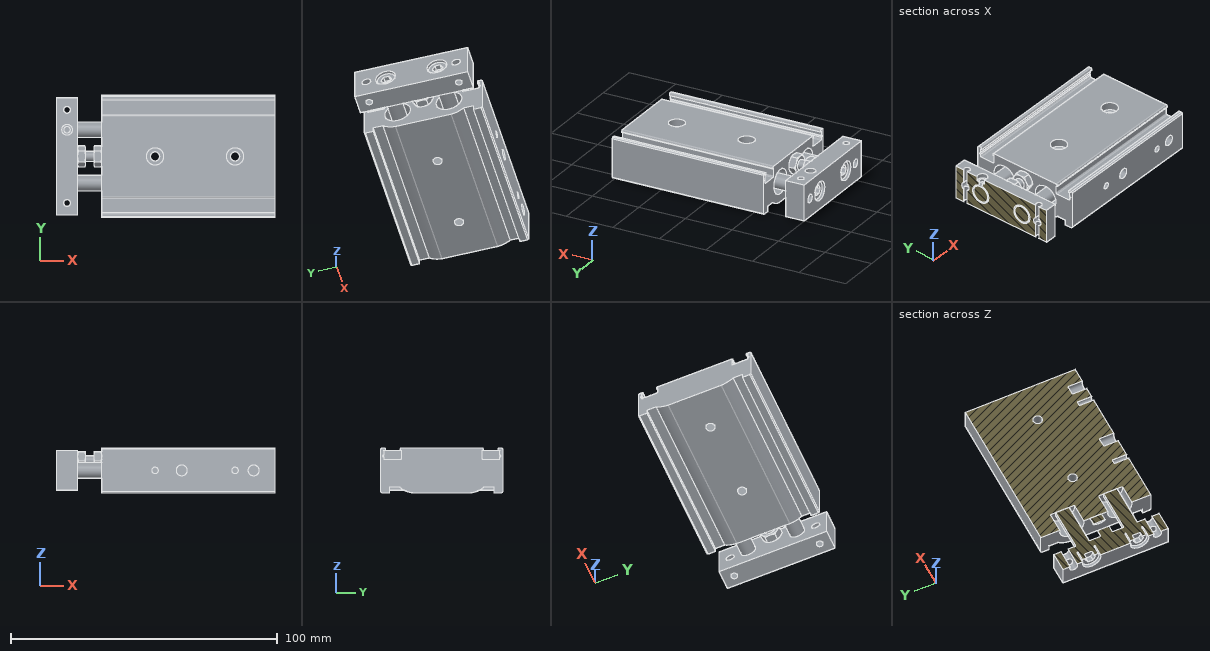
import cadquery as cq
import math


HEXAGON_HALF_ANGLE = 30.0

TOTAL_LENGTH = 82.0
HOUSING_LENGTH = 65.0
HOUSING_WIDTH = 46.0
HOUSING_HEIGHT = 17.0
PLATE_THICKNESS = 7.95
PLATE_WIDTH = 44.0
PLATE_HEIGHT = 15.0
HOUSING_X = TOTAL_LENGTH - HOUSING_LENGTH
HALF_WIDTH = HOUSING_WIDTH / 2
HALF_HEIGHT = HOUSING_HEIGHT / 2

ROD_Y = 10.0
ROD_SIDES = (-ROD_Y, ROD_Y)
ROD_DIAMETER = 6.0
BORE_DIAMETER = 10.0
BORE_DEPTH = 8.0

EDGE_CHAMFER = 0.5
SLOT_INNER_Y = 15.6
SLOT_OUTER_Y = 21.1
SLOT_LIP_HEIGHT = 1.0
SLOT_LIP_RADIUS = 0.5
SLOT_FLOOR_Z = 4.0
SLOT_FLOOR_RADIUS = 0.4
SLOT_INNER_UNDERCUT = 0.4
SLOT_OUTER_UNDERCUT = 0.65
NOTCH_Z = 5.4
NOTCH_DEPTH = 0.4
BOTTOM_LIP_Y = 19.5
BOTTOM_SLOT_FLOOR_Z = -6.3
BOTTOM_RADIUS = 8.5

MOUNT_OFFSETS = (20.0, 50.0)
MOUNT_HOLE_DIAMETER = 3.4
MOUNT_COUNTERBORE_DIAMETER = 6.5
MOUNT_COUNTERBORE_DEPTH = 3.3
SIDE_TAP_DIAMETER = 2.5
PORT_OFFSETS = (30.0, 57.0)
PORT_DIAMETER = 4.1
SIDE_HOLE_DEPTH = 6.0

PLATE_HOLE_Y = 17.5
PLATE_CROSS_HOLE_DIAMETER = 2.5
PLATE_FACE_HOLE_DIAMETER = 3.3
SCREW_HEAD_DIAMETER = 7.0
SCREW_RECESS_DIAMETER = 7.6
SCREW_RECESS_DEPTH = 5.0
SCREW_HEAD_SETBACK = 1.0
SCREW_HEX_FLATS = 3.5
SCREW_HEX_DEPTH = 2.0
LOCK_HOLE_DIAMETER = 4.0
LOCK_HOLE_DEPTH = 2.0
LOCK_SOCKET_DIAMETER = 2.5
LOCK_SOCKET_DEPTH = 1.2

STOPPER_Z = 3.5
STOPPER_DIAMETER = 4.0
NUT_FLATS = 7.0
NUT_THICKNESS = 2.95
NUT_CHAMFER_ANGLE = 30.0


def rod_along_x(diameter, x_start, length, y=0.0, z=0.0):
    """Round bar parallel to X."""
    return cq.Workplane("YZ", origin=(x_start, y, z)).circle(diameter / 2).extrude(length)


def hexagon_along_x(flats, x_start, length, y=0.0, z=0.0):
    """Hexagonal bar parallel to X with two flats facing up and down."""
    corners = flats / math.cos(math.radians(HEXAGON_HALF_ANGLE))
    return cq.Workplane("YZ", origin=(x_start, y, z)).polygon(6, corners).extrude(length)


def cylinder_down(diameter, x, y, z_top, depth):
    """Round bar that starts at z_top and runs down."""
    return cq.Workplane("XY", origin=(x, y, z_top)).circle(diameter / 2).extrude(-depth)


def side_hole(diameter, x, depth):
    """Cutter for a round hole into the -Y side of the housing."""
    return cq.Workplane("XZ", origin=(x, -HALF_WIDTH, 0)).circle(diameter / 2).extrude(-depth)


def top_slot():
    """Sensor slot on the +Y side of the top face, as a cutter."""
    lip_bottom = HALF_HEIGHT - SLOT_LIP_HEIGHT
    round_bottom = HALF_HEIGHT - SLOT_LIP_RADIUS
    wall_inner = SLOT_INNER_Y - SLOT_INNER_UNDERCUT
    wall_outer = SLOT_OUTER_Y + SLOT_OUTER_UNDERCUT
    floor_top = SLOT_FLOOR_Z + SLOT_FLOOR_RADIUS
    profile = (
        cq.Workplane("YZ", origin=(HOUSING_X, 0, 0))
        .moveTo(SLOT_INNER_Y - SLOT_LIP_RADIUS, HALF_HEIGHT)
        .radiusArc((SLOT_INNER_Y, round_bottom), SLOT_LIP_RADIUS)
        .lineTo(SLOT_INNER_Y, lip_bottom)
        .lineTo(wall_inner, lip_bottom)
        .lineTo(wall_inner, floor_top)
        .radiusArc((wall_inner + SLOT_FLOOR_RADIUS, SLOT_FLOOR_Z), -SLOT_FLOOR_RADIUS)
        .lineTo(wall_outer - SLOT_FLOOR_RADIUS, SLOT_FLOOR_Z)
        .radiusArc((wall_outer, floor_top), -SLOT_FLOOR_RADIUS)
        .lineTo(wall_outer, NOTCH_Z - NOTCH_DEPTH)
        .lineTo(wall_outer + NOTCH_DEPTH, NOTCH_Z)
        .lineTo(wall_outer, NOTCH_Z + NOTCH_DEPTH)
        .lineTo(wall_outer, lip_bottom)
        .lineTo(SLOT_OUTER_Y, lip_bottom)
        .lineTo(SLOT_OUTER_Y, round_bottom)
        .radiusArc((SLOT_OUTER_Y + SLOT_LIP_RADIUS, HALF_HEIGHT), SLOT_LIP_RADIUS)
        .close()
    )
    return profile.extrude(HOUSING_LENGTH)


def bottom_slot():
    """Slot on the +Y side of the bottom face, bounded by the bulge around the bore."""
    arc_top_y = ROD_Y + math.sqrt(BOTTOM_RADIUS**2 - BOTTOM_SLOT_FLOOR_Z**2)
    arc_end_y = ROD_Y + math.sqrt(BOTTOM_RADIUS**2 - HALF_HEIGHT**2)
    profile = (
        cq.Workplane("YZ", origin=(HOUSING_X, 0, 0))
        .moveTo(arc_top_y, BOTTOM_SLOT_FLOOR_Z)
        .radiusArc((arc_end_y, -HALF_HEIGHT), BOTTOM_RADIUS)
        .lineTo(BOTTOM_LIP_Y, -HALF_HEIGHT)
        .lineTo(BOTTOM_LIP_Y, BOTTOM_SLOT_FLOOR_Z)
        .close()
    )
    return profile.extrude(HOUSING_LENGTH)


def make_housing():
    block = (
        cq.Workplane("XY")
        .box(HOUSING_LENGTH, HOUSING_WIDTH, HOUSING_HEIGHT)
        .edges("|X")
        .chamfer(EDGE_CHAMFER)
        .translate((HOUSING_X + HOUSING_LENGTH / 2, 0, 0))
    )
    for slot in (top_slot(), bottom_slot()):
        block = block.cut(slot).cut(slot.mirror("XZ"))

    for y in ROD_SIDES:
        block = block.cut(rod_along_x(BORE_DIAMETER, HOUSING_X, BORE_DEPTH, y))

    for offset in MOUNT_OFFSETS:
        x = HOUSING_X + offset
        block = block.cut(cylinder_down(MOUNT_HOLE_DIAMETER, x, 0, HALF_HEIGHT, HOUSING_HEIGHT))
        counterbore = cylinder_down(
            MOUNT_COUNTERBORE_DIAMETER, x, 0, HALF_HEIGHT, MOUNT_COUNTERBORE_DEPTH
        )
        block = block.cut(counterbore)
        block = block.cut(side_hole(SIDE_TAP_DIAMETER, x, SIDE_HOLE_DEPTH))

    for offset in PORT_OFFSETS:
        block = block.cut(side_hole(PORT_DIAMETER, HOUSING_X + offset, SIDE_HOLE_DEPTH))
    return block


def rod_screw(y):
    """Socket head screw that sits in a recess of the end plate."""
    length = SCREW_RECESS_DEPTH - SCREW_HEAD_SETBACK
    head = rod_along_x(SCREW_HEAD_DIAMETER, SCREW_HEAD_SETBACK, length, y)
    return head.cut(hexagon_along_x(SCREW_HEX_FLATS, SCREW_HEAD_SETBACK, SCREW_HEX_DEPTH, y))


def make_plate():
    plate = cq.Workplane("XY").box(PLATE_THICKNESS, PLATE_WIDTH, PLATE_HEIGHT)
    plate = plate.translate((PLATE_THICKNESS / 2, 0, 0))
    middle_x = PLATE_THICKNESS / 2
    top_z = PLATE_HEIGHT / 2

    for y in (-PLATE_HOLE_Y, PLATE_HOLE_Y):
        plate = plate.cut(cylinder_down(PLATE_CROSS_HOLE_DIAMETER, middle_x, y, top_z, PLATE_HEIGHT))
        plate = plate.cut(rod_along_x(PLATE_FACE_HOLE_DIAMETER, 0, PLATE_THICKNESS, y))

    for y in ROD_SIDES:
        plate = plate.cut(rod_along_x(SCREW_RECESS_DIAMETER, 0, SCREW_RECESS_DEPTH, y))
        plate = plate.union(rod_screw(y))

    lock_depth = LOCK_HOLE_DEPTH + LOCK_SOCKET_DEPTH
    plate = plate.cut(cylinder_down(LOCK_HOLE_DIAMETER, middle_x, ROD_Y, top_z, LOCK_HOLE_DEPTH))
    plate = plate.cut(cylinder_down(LOCK_SOCKET_DIAMETER, middle_x, ROD_Y, top_z, lock_depth))
    return plate


def stopper_nut(x_start):
    """Hexagon nut with its corners chamfered at both ends."""
    corner_radius = NUT_FLATS / 2 / math.cos(math.radians(HEXAGON_HALF_ANGLE))
    chamfer_width = corner_radius - NUT_FLATS / 2
    chamfer_length = chamfer_width * math.tan(math.radians(NUT_CHAMFER_ANGLE))
    envelope = (
        rod_along_x(2 * corner_radius, x_start, NUT_THICKNESS, z=STOPPER_Z)
        .faces("<X or >X")
        .chamfer(chamfer_length, chamfer_width)
    )
    return envelope.intersect(hexagon_along_x(NUT_FLATS, x_start, NUT_THICKNESS, z=STOPPER_Z))


def make_moving_assembly():
    assembly = make_plate()
    gap = HOUSING_X - PLATE_THICKNESS

    for y in ROD_SIDES:
        assembly = assembly.union(rod_along_x(ROD_DIAMETER, PLATE_THICKNESS, gap + BORE_DEPTH, y))

    assembly = assembly.union(rod_along_x(STOPPER_DIAMETER, PLATE_THICKNESS, gap, z=STOPPER_Z))
    for x_start in (PLATE_THICKNESS, HOUSING_X - NUT_THICKNESS):
        assembly = assembly.union(stopper_nut(x_start))
    return assembly


housing = make_housing()
moving_assembly = make_moving_assembly()

result = cq.Compound.makeCompound([*housing.solids().vals(), *moving_assembly.solids().vals()])